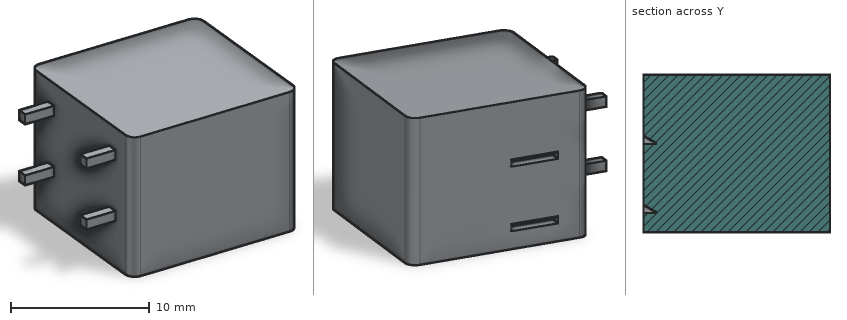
import cadquery as cq

body_width = 13.5
body_height = 11.4
total_length = 16.9
corner_radius = 0.8

pin_length = 2.5
pin_size = 0.81
rows = 2
columns = 2
pin_pitch_x = 8.2
pin_pitch_z = 4.99
left_pin_inset = 2.77
top_pin_inset = 2.21

slot_length = 3.73
slot_height = 0.55
slot_depth = 0.9
slot_end_height = 0.05
slot_front_inset = 2.5
top_slot_inset = 4.45
slot_pitch_z = 5.0

body_length = total_length - pin_length
left_x = -body_width / 2
front_y = -body_length / 2
top_z = body_height / 2

def make_body():
    block = cq.Workplane("XY").box(body_width, body_length, body_height)
    return block.edges("|Z").fillet(corner_radius)

def make_pin(x, z):
    """Pin standing on the pin face, centred on (x, z)."""
    pin = cq.Workplane("XY").box(pin_size, pin_length, pin_size)
    return pin.translate((x, front_y - pin_length / 2, z))

def make_slot(slot_top_z):
    """Wedge to cut from the -X side, with its mouth's top edge at slot_top_z."""
    floor_z = slot_top_z - slot_height
    inner_x = left_x + slot_depth
    profile = [
        (left_x, floor_z),
        (inner_x, floor_z),
        (inner_x, floor_z + slot_end_height),
        (left_x, slot_top_z),
    ]
    wedge = cq.Workplane("XZ").polyline(profile).close().extrude(-slot_length)
    return wedge.translate((0, front_y + slot_front_inset, 0))

result = make_body()
for row in range(rows):
    pin_z = top_z - top_pin_inset - row * pin_pitch_z
    for column in range(columns):
        pin_x = left_x + left_pin_inset + column * pin_pitch_x
        result = result.union(make_pin(pin_x, pin_z))
    result = result.cut(make_slot(top_z - top_slot_inset - row * slot_pitch_z))